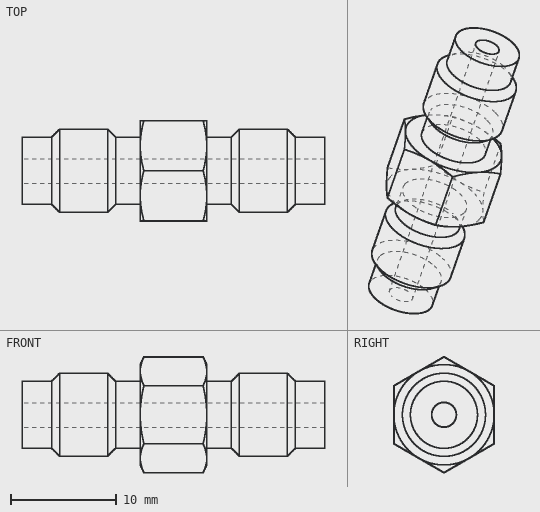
import cadquery as cq
import math

length = 28.7
stem_diameter = 6.37
collar_diameter = 7.9
bore_diameter = 2.32
hex_across_flats = 9.53
hex_width = 6.3
hex_chamfer_depth = 0.35
collar_inset = 2.78
collar_length = 6.08

collar_bevel = (collar_diameter - stem_diameter) / 2
hex_across_corners = hex_across_flats / math.cos(math.radians(30))
hex_start = (length - hex_width) / 2


def revolve_about_x(points):
    """Revolve a closed (x, radius) outline about the X axis."""
    return cq.Workplane("XY").polyline(points).close().revolve(360, (0, 0, 0), (1, 0, 0))


def cylinder(diameter):
    """Full-length cylinder along the X axis."""
    return cq.Workplane("YZ").circle(diameter / 2).extrude(length)


def collar(start):
    """Collar beveled at both ends, starting at the given X position."""
    end = start + collar_length
    collar_radius = collar_diameter / 2
    stem_radius = stem_diameter / 2
    return revolve_about_x([
        (start, 0),
        (start, stem_radius),
        (start + collar_bevel, collar_radius),
        (end - collar_bevel, collar_radius),
        (end, stem_radius),
        (end, 0),
    ])


def hex_nut():
    """Hexagon with corners on +Z and -Z, its ends chamfered by cones."""
    prism = (
        cq.Workplane("YZ", origin=(hex_start, 0, 0))
        .transformed(rotate=(0, 0, 90))
        .polygon(6, hex_across_corners)
        .extrude(hex_width)
    )
    hex_end = hex_start + hex_width
    flat_radius = hex_across_flats / 2
    corner_radius = hex_across_corners / 2
    envelope = revolve_about_x([
        (hex_start, 0),
        (hex_start, flat_radius),
        (hex_start + hex_chamfer_depth, corner_radius),
        (hex_end - hex_chamfer_depth, corner_radius),
        (hex_end, flat_radius),
        (hex_end, 0),
    ])
    return prism.intersect(envelope)


body = cylinder(stem_diameter).union(hex_nut())
for collar_start in (collar_inset, length - collar_inset - collar_length):
    body = body.union(collar(collar_start))

result = body.cut(cylinder(bore_diameter))